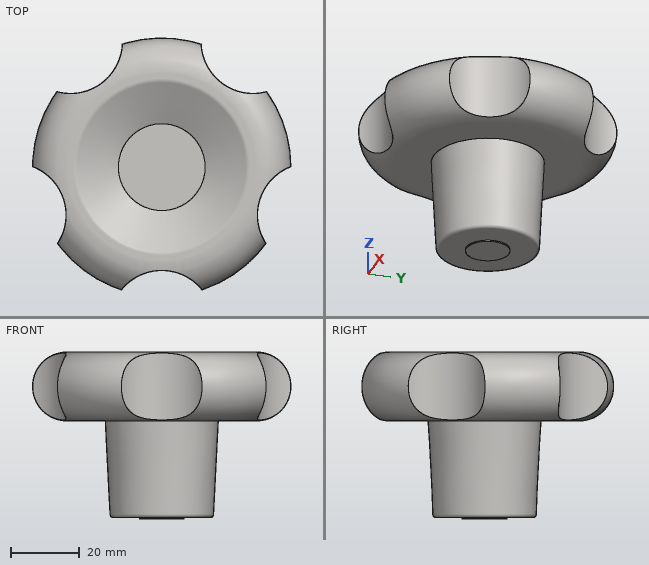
import cadquery as cq

grip_radius = 37.5
grip_height = 20.0
rim_radius = grip_height / 2
flat_radius = grip_radius - rim_radius

dish_radius = 25.05
dish_edge_round = 2.0
dish_floor_radius = 12.6
dish_depth = 7.05

scallop_count = 5
scallop_radius = 15.0
scallop_centre_radius = 45.0
first_scallop_angle = -90.0

total_height = 48.4
insert_radius = 13.0 / 2
insert_projection = 0.4
hub_top_radius = 16.4
hub_bottom_radius = 15.0
hub_edge_round = 1.0

hub_bottom = insert_projection
grip_bottom = total_height - grip_height
grip_middle = grip_bottom + rim_radius


def make_grip():
    """Disc with a fully rounded rim and a round-edged conical dish in its top face."""
    profile = (
        cq.Workplane("XZ")
        .moveTo(0, grip_bottom)
        .lineTo(flat_radius, grip_bottom)
        .threePointArc((grip_radius, grip_middle), (flat_radius, total_height))
        .lineTo(dish_radius, total_height)
        .lineTo(dish_floor_radius, total_height - dish_depth)
        .lineTo(0, total_height - dish_depth)
        .close()
    )
    grip = profile.revolve(360, (0, 0, 0), (0, 1, 0))
    dish_edge = cq.selectors.RadiusNthSelector(0)
    return grip.faces(">Z").edges(dish_edge).fillet(dish_edge_round)


def make_scallops():
    """Vertical cylinders that cut the finger recesses."""
    return (
        cq.Workplane("XY")
        .workplane(offset=grip_bottom)
        .polarArray(scallop_centre_radius, first_scallop_angle, 360, scallop_count)
        .circle(scallop_radius)
        .extrude(grip_height)
    )


def make_hub():
    """Cone narrowing downwards, with a rounded lower edge."""
    profile = (
        cq.Workplane("XZ")
        .moveTo(0, hub_bottom)
        .lineTo(hub_bottom_radius, hub_bottom)
        .lineTo(hub_top_radius, grip_bottom)
        .lineTo(0, grip_bottom)
        .close()
    )
    hub = profile.revolve(360, (0, 0, 0), (0, 1, 0))
    return hub.faces("<Z").edges().fillet(hub_edge_round)


def make_insert():
    """Short round face projecting below the hub."""
    return cq.Workplane("XY").circle(insert_radius).extrude(hub_bottom)


result = make_grip().cut(make_scallops()).union(make_hub()).union(make_insert())